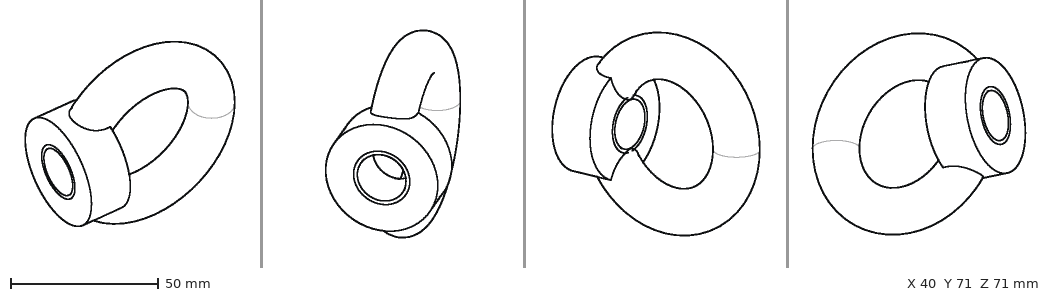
import cadquery as cq

ring_outer_diameter = 71.0
bar_diameter = 16.0
ring_centre_radius = (ring_outer_diameter - bar_diameter) / 2

boss_diameter = 40.0
boss_rim_height = 16.0
boss_height = 18.1
boss_face_y = -ring_outer_diameter / 2

sleeve_outer_diameter = 20.0
sleeve_bore_diameter = 17.3

boss_top_diameter = sleeve_outer_diameter


def ring():
    """Closed round bar bent about the X axis."""
    return (
        cq.Workplane("XY")
        .center(0, ring_centre_radius)
        .circle(bar_diameter / 2)
        .revolve(360, (0, -ring_centre_radius), (1, -ring_centre_radius))
    )


def boss():
    """Cylinder with a shallow conical top facing the middle of the ring."""
    rim_y = boss_face_y + boss_rim_height
    top_y = boss_face_y + boss_height
    return (
        cq.Workplane("XY")
        .moveTo(0, boss_face_y)
        .lineTo(boss_diameter / 2, boss_face_y)
        .lineTo(boss_diameter / 2, rim_y)
        .lineTo(boss_top_diameter / 2, top_y)
        .lineTo(0, top_y)
        .close()
        .revolve(360, (0, 0), (0, 1))
    )


def along_boss(diameter):
    """Cylinder on the boss axis, as long as the boss is high."""
    face = cq.Workplane("XZ", origin=(0, boss_face_y, 0))
    return face.circle(diameter / 2).extrude(-boss_height)


def make_eye_nut():
    """Ring and boss in one piece, bored for the sleeve."""
    return ring().union(boss()).cut(along_boss(sleeve_outer_diameter))


def make_sleeve():
    """Plain tube, flush with both ends of the boss."""
    return along_boss(sleeve_outer_diameter).cut(along_boss(sleeve_bore_diameter))


eye_nut = make_eye_nut()
sleeve = make_sleeve()

result = cq.Compound.makeCompound([eye_nut.val(), sleeve.val()])